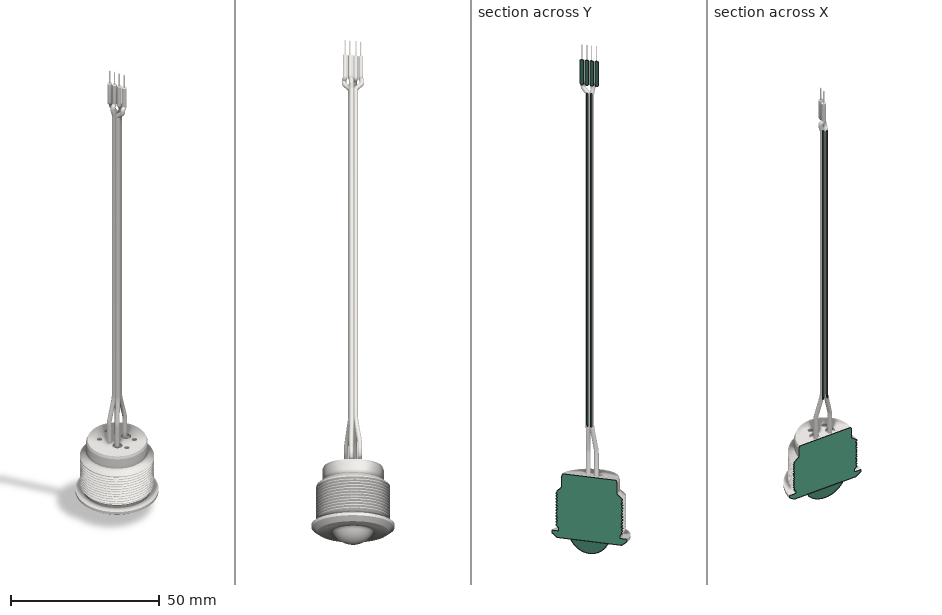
import cadquery as cq
import math

total_height = 177.14
flange_diameter = 28.0

flange_rim = 1.0
flange_thickness = 2.5
flange_face_diameter = 24.0
neck_diameter = 23.0
neck_height = 1.0
neck_cone_height = 1.0
thread_diameter = 25.0
thread_pitch = 1.0
thread_depth = 0.6
thread_groove_width = 0.85
thread_groove_clearance = 0.08
thread_start_angle = 180
thread_turns = 12
thread_top = 13.5
groove_base = thread_top - thread_turns * thread_pitch
collar_diameter = 20.7
collar_base = 15.3
housing_top = 20.1
collar_chamfer = 0.35
collar_chamfer_height = 1.0

recess_depth = 1.0
pin_hole_diameter = 1.8
pin_hole_x = 5.2
wire_x = 1.5
wire_y = 2.7
wire_recess_diameter = 3.4
wire_recess_x = 1.85
wire_recess_y = 3.1

dome_diameter = 13.9
dome_height = 4.2

wire_diameter = 1.55
conductor_diameter = 0.48
bundle_pitch = 1.4
lower_bend_height = 8.4
lower_split_height = 17.4
lower_bend_radius = 7.0
lower_gather_radius = 10.0
upper_bend_radius = 0.9
row_pitch = 1.85
upper_bulge_y = 1.15
conductor_length = 5.2
row_length = 8.0
jog_height = 0.6
bulge_length = 1.3
flare_height = 1.9

dome_bottom = -flange_thickness - dome_height
cable_top = dome_bottom + total_height
insulation_top = cable_top - conductor_length
row_base = insulation_top - row_length
bulge_top = row_base - jog_height
bulge_base = bulge_top - bulge_length
bundle_top = bulge_base - flare_height


def make_groove_turn():
    """One right-handed turn of the V groove, reaching a little outside the crests to cut them cleanly."""
    crest_r = thread_diameter / 2
    helix = cq.Wire.makeHelix(thread_pitch, thread_pitch, crest_r, cq.Vector(0, 0, groove_base))
    half_width = thread_groove_width / 2 * (1 + thread_groove_clearance / thread_depth)
    return (
        cq.Workplane("XZ", origin=(crest_r, 0, groove_base))
        .moveTo(-thread_depth, 0)
        .lineTo(thread_groove_clearance, half_width)
        .lineTo(thread_groove_clearance, -half_width)
        .close()
        .sweep(cq.Workplane(obj=helix), isFrenet=True)
        .rotate((0, 0, 0), (0, 0, 1), thread_start_angle)
    )


def make_housing():
    rim_r = flange_diameter / 2
    crest_r = thread_diameter / 2
    neck_r = neck_diameter / 2
    collar_r = collar_diameter / 2
    housing = (
        cq.Workplane("XZ")
        .moveTo(0, -flange_thickness)
        .lineTo(flange_face_diameter / 2, -flange_thickness)
        .lineTo(rim_r, -flange_rim)
        .lineTo(rim_r, 0)
        .lineTo(neck_r, 0)
        .lineTo(neck_r, neck_height)
        .lineTo(crest_r, neck_height + neck_cone_height)
        .lineTo(crest_r, thread_top)
        .lineTo(collar_r, collar_base)
        .lineTo(collar_r, housing_top - collar_chamfer_height)
        .lineTo(collar_r - collar_chamfer, housing_top)
        .lineTo(0, housing_top)
        .close()
        .revolve(360, (0, 0, 0), (0, 1, 0))
    )
    groove_turn = make_groove_turn()
    for turn in range(thread_turns):
        housing = housing.cut(groove_turn.translate((0, 0, turn * thread_pitch)))
    return cut_top_recesses(housing)


def cut_top_recesses(housing):
    """Blind pin sockets, and the pockets in which the four wires stand."""
    floor = cq.Workplane("XY", origin=(0, 0, housing_top - recess_depth))
    for side in (-1, 1):
        y = side * wire_y
        sockets = floor.pushPoints([(-pin_hole_x, y), (pin_hole_x, y)]).circle(pin_hole_diameter / 2)
        housing = housing.cut(sockets.extrude(recess_depth))
        recess = floor.center(wire_recess_x, side * wire_recess_y).circle(wire_recess_diameter / 2)
        housing = housing.cut(recess.extrude(recess_depth))
        wire_hole = floor.center(-wire_x, y).circle(wire_diameter / 2)
        housing = housing.cut(wire_hole.extrude(recess_depth))
    return housing


def make_dome():
    radius = dome_diameter / 2
    sphere_radius = (radius**2 + dome_height**2) / (2 * dome_height)
    sphere = cq.Workplane("XY", origin=(0, 0, dome_bottom + sphere_radius)).sphere(sphere_radius)
    cap_block = cq.Workplane("XY", origin=(0, 0, dome_bottom)).circle(radius).extrude(dome_height)
    return sphere.intersect(cap_block)


def rounded_path(points, radii):
    """Straight runs through the points, with a tangent arc at each inner point."""
    corners = [cq.Vector(*p) for p in points]
    edges = []
    start = corners[0]
    for before, corner, after, radius in zip(corners, corners[1:], corners[2:], radii):
        back = (before - corner).normalized()
        ahead = (after - corner).normalized()
        half_angle = back.getAngle(ahead) / 2
        setback = radius / math.tan(half_angle)
        sagitta = radius / math.sin(half_angle) - radius
        arc_start = corner + back * setback
        arc_end = corner + ahead * setback
        arc_middle = corner + (back + ahead).normalized() * sagitta
        edges.append(cq.Edge.makeLine(start, arc_start))
        edges.append(cq.Edge.makeThreePointArc(arc_start, arc_middle, arc_end))
        start = arc_end
    edges.append(cq.Edge.makeLine(start, corners[-1]))
    return cq.Wire.assembleEdges(edges)


def make_wire(side_x, side_y):
    """One insulated wire with its bare end; wires on one diagonal end on the outside of the row."""
    bundle = (side_x * bundle_pitch / 2, side_y * bundle_pitch / 2)
    inner_x = row_pitch / 2
    row_x = side_x * (inner_x if side_x == side_y else inner_x + row_pitch)
    bulge_y = side_y * upper_bulge_y
    foot = (side_x * wire_x, side_y * wire_y)
    foot_z = housing_top - recess_depth
    points = [
        (*foot, foot_z),
        (*foot, housing_top + lower_bend_height),
        (*bundle, housing_top + lower_split_height),
        (*bundle, bundle_top),
        (row_x, bulge_y, bulge_base),
        (row_x, bulge_y, bulge_top),
        (row_x, 0, row_base),
        (row_x, 0, insulation_top),
    ]
    radii = [lower_bend_radius, lower_gather_radius] + [upper_bend_radius] * (len(points) - 4)
    insulation = (
        cq.Workplane("XY", origin=points[0])
        .circle(wire_diameter / 2)
        .sweep(cq.Workplane(obj=rounded_path(points, radii)))
    )
    conductor = (
        cq.Workplane("XY", origin=points[-1]).circle(conductor_diameter / 2).extrude(conductor_length)
    )
    return insulation.union(conductor)


def make_cable():
    cable = make_wire(-1, -1)
    for side_x, side_y in ((-1, 1), (1, -1), (1, 1)):
        cable = cable.union(make_wire(side_x, side_y))
    return cable


housing = make_housing()
dome = make_dome()
cable = make_cable()

result = cq.Compound.makeCompound([housing.val(), dome.val(), cable.val()])